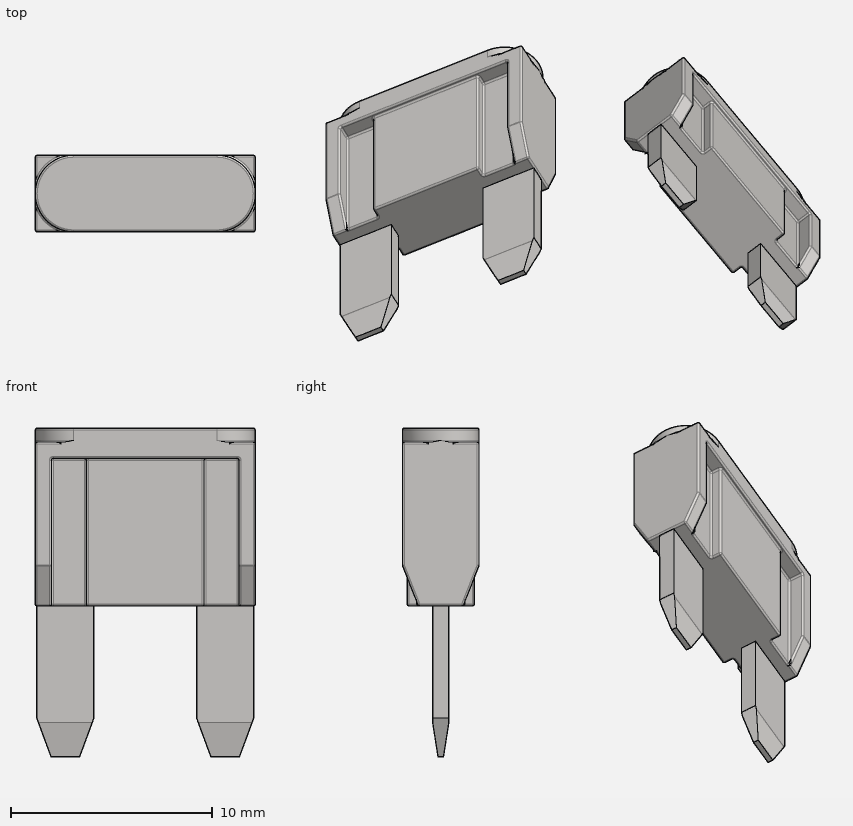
import cadquery as cq

BODY_LENGTH = 10.9
BODY_DEPTH = 3.8
BODY_BOTTOM = 7.48
LEDGE_Z = 15.6
TOP_Z = 16.3
EDGE_RADIUS = 0.1

BEVEL_TOP_Z = 9.49
BEVEL_FOOT_DEPTH = 2.22

RECESS_LENGTH = 9.29
RECESS_TOP_Z = 14.8
RECESS_FLOOR_DEPTH = 2.18
PANEL_LENGTH = 5.84
PANEL_DEPTH = 3.33

BLADE_WIDTH = 2.84
BLADE_THICKNESS = 0.82
BLADE_OUTER_X = 5.38
TIP_WIDTH = 1.42
TIP_THICKNESS = 0.28
WIDTH_TAPER_Z = 1.92
THICKNESS_TAPER_Z = 1.71

POST_LENGTH = (BODY_LENGTH - RECESS_LENGTH) / 2
POST_X = (BODY_LENGTH - POST_LENGTH) / 2
FOOT_TOP_Z = BEVEL_TOP_Z + EDGE_RADIUS
CAP_END_X = (BODY_LENGTH - BODY_DEPTH) / 2
BLADE_X = BLADE_OUTER_X - BLADE_WIDTH / 2


def box_between(length, depth, bottom, top):
    """Box centred on the Z axis, from bottom to top."""
    base = cq.Workplane("XY", origin=(0, 0, bottom))
    return base.box(length, depth, top - bottom, centered=(True, True, False))


def tapered_prism(plane, full, tip, taper_z, bottom, top, thickness):
    """Prism centred on its plane, narrowing from full to tip between taper_z and bottom."""
    return (
        cq.Workplane(plane)
        .moveTo(-tip / 2, bottom)
        .lineTo(tip / 2, bottom)
        .lineTo(full / 2, taper_z)
        .lineTo(full / 2, top)
        .lineTo(-full / 2, top)
        .lineTo(-full / 2, taper_z)
        .close()
        .extrude(thickness / 2, both=True)
    )


def make_frame():
    """Rectangular block with a recess and raised panel front and back, all edges rounded."""
    block = box_between(BODY_LENGTH, BODY_DEPTH, BODY_BOTTOM, LEDGE_Z)
    recess = box_between(RECESS_LENGTH, BODY_DEPTH, BODY_BOTTOM, RECESS_TOP_Z)
    core = box_between(RECESS_LENGTH, RECESS_FLOOR_DEPTH, BODY_BOTTOM, RECESS_TOP_Z)
    panel = box_between(PANEL_LENGTH, PANEL_DEPTH, BODY_BOTTOM, RECESS_TOP_Z)
    return block.cut(recess).union(core).union(panel).edges().fillet(EDGE_RADIUS)


def make_foot_space():
    """Space that the bevelled foot of the +X post takes up in the frame."""
    return box_between(POST_LENGTH, BODY_DEPTH, BODY_BOTTOM, FOOT_TOP_Z).translate((POST_X, 0, 0))


def make_foot():
    """Bevelled, rounded foot of the +X post; its lower inner edge stays square to meet the core."""
    post = tapered_prism(
        "YZ", BODY_DEPTH, BEVEL_FOOT_DEPTH, BEVEL_TOP_Z, BODY_BOTTOM, LEDGE_Z, POST_LENGTH
    )
    rounded = post.edges("not (<X and <Z)").fillet(EDGE_RADIUS)
    return rounded.translate((POST_X, 0, 0)).intersect(make_foot_space())


def make_cap():
    """Round-ended cap, reaching down past the rounded shoulder edges."""
    foot_z = LEDGE_Z - EDGE_RADIUS
    return (
        cq.Workplane("XY", origin=(0, 0, foot_z))
        .slot2D(BODY_LENGTH, BODY_DEPTH)
        .extrude(TOP_Z - foot_z)
        .faces(">Z")
        .edges()
        .fillet(EDGE_RADIUS)
    )


def make_cove():
    """Ring with a concave flank that blends the +X end of the cap into the shoulders."""
    cap_radius = BODY_DEPTH / 2
    outer_radius = cap_radius + EDGE_RADIUS
    inner_radius = cap_radius / 2
    bottom_z = LEDGE_Z - EDGE_RADIUS
    top_z = LEDGE_Z + EDGE_RADIUS
    ring = (
        cq.Workplane("XZ")
        .moveTo(inner_radius, bottom_z)
        .lineTo(outer_radius, bottom_z)
        .lineTo(outer_radius, LEDGE_Z)
        .radiusArc((cap_radius, top_z), EDGE_RADIUS)
        .lineTo(inner_radius, top_z)
        .close()
        .revolve(360, (0, 0, 0), (0, 1, 0))
    )
    return ring.translate((CAP_END_X, 0, 0)).intersect(
        box_between(BODY_LENGTH, BODY_DEPTH, bottom_z, top_z)
    )


def make_housing():
    foot_space = make_foot_space()
    foot = make_foot()
    cove = make_cove()
    body = make_frame()
    body = body.cut(foot_space).cut(foot_space.mirror("YZ"))
    body = body.union(foot).union(foot.mirror("YZ"))
    body = body.union(make_cap())
    return body.union(cove).union(cove.mirror("YZ"))


def make_blade(x):
    """Flat blade whose tip tapers in both width and thickness."""
    front_shape = tapered_prism(
        "XZ", BLADE_WIDTH, TIP_WIDTH, WIDTH_TAPER_Z, 0, BODY_BOTTOM, BLADE_THICKNESS
    )
    side_shape = tapered_prism(
        "YZ", BLADE_THICKNESS, TIP_THICKNESS, THICKNESS_TAPER_Z, 0, BODY_BOTTOM, BLADE_WIDTH
    )
    return front_shape.intersect(side_shape).translate((x, 0, 0))


housing = make_housing()
blades = [make_blade(x) for x in (-BLADE_X, BLADE_X)]

result = cq.Compound.makeCompound([housing.solids().val(), *[blade.solids().val() for blade in blades]])